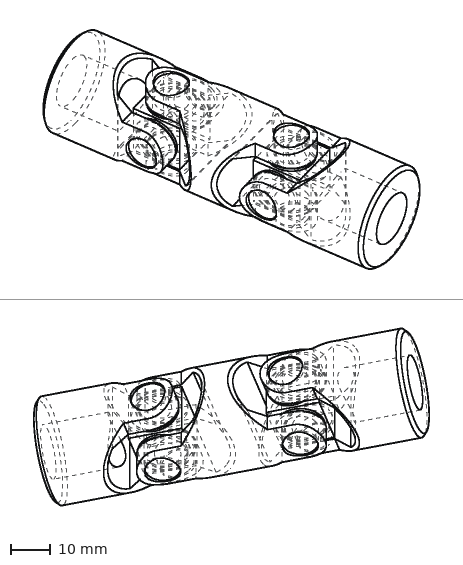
import cadquery as cq

length = 96.0
outer_diameter = 28.0
bore_diameter = 14.0
end_chamfer = 1.0

joint_spacing = 36.0
arm_half_width = 6.5
slope_start = 6.7
slope_end = 15.0
slot_half_width = 8.0
slot_bottom_radius = 12.1
slot_depth = 13.9

block_size = 13.9
boss_diameter = 12.5
pin_diameter = 9.0
pin_reach = 12.9
center_mark_diameter = 2.2
center_mark_depth = 0.2

outer_radius = outer_diameter / 2
joint_offset = joint_spacing / 2
fork_length = slope_end + arm_half_width


def x_cylinder(diameter, x_start, x_end):
    """Cylinder on the X axis between two X positions."""
    return cq.Workplane("YZ", origin=(x_start, 0, 0)).circle(diameter / 2).extrude(x_end - x_start)


def z_cylinder(diameter, height):
    """Cylinder standing on the XY plane at the origin."""
    return cq.Workplane("XY").circle(diameter / 2).extrude(height)


def arm_outline():
    """Block with the outline of the fork arms: rounded tip, straight sides, then sloping out."""
    return (
        cq.Workplane("XY")
        .moveTo(-slope_end, -outer_radius)
        .lineTo(-slope_start, -arm_half_width)
        .lineTo(0, -arm_half_width)
        .threePointArc((arm_half_width, 0), (0, arm_half_width))
        .lineTo(-slope_start, arm_half_width)
        .lineTo(-slope_end, outer_radius)
        .close()
        .extrude(outer_radius, both=True)
    )


def fork_slot():
    """Gap between the arms, level in Z: flat sides and a bottom rounded about Y, open toward +X."""
    bottom_center = slot_bottom_radius - slot_depth
    gap_length = slot_depth + arm_half_width
    gap = cq.Workplane("XY", origin=(-slot_depth, 0, 0)).box(
        gap_length, outer_diameter, 2 * slot_half_width, centered=(False, True, True)
    )
    rounded_bottom = (
        cq.Workplane("XZ")
        .moveTo(bottom_center, -slot_bottom_radius)
        .threePointArc((-slot_depth, 0), (bottom_center, slot_bottom_radius))
        .lineTo(arm_half_width, slot_bottom_radius)
        .lineTo(arm_half_width, -slot_bottom_radius)
        .close()
        .extrude(outer_radius, both=True)
    )
    return gap.intersect(rounded_bottom)


def fork_waste():
    """All that is cut from a round bar to leave a fork: pins along Z, joint at the origin, tip at +X."""
    around_fork = cq.Workplane("XY", origin=(-slope_end, 0, 0)).box(
        fork_length, outer_diameter, outer_diameter, centered=(False, True, True)
    )
    pin_hole = cq.Workplane("XY").circle(pin_diameter / 2).extrude(outer_radius, both=True)
    return around_fork.cut(arm_outline()).union(fork_slot()).union(pin_hole)


def swap_ends(body):
    """Half turn about Z."""
    return body.rotate((0, 0, 0), (0, 0, 1), 180)


def make_left_hub():
    """Bored and chamfered shaft end whose fork takes the pins along Y."""
    fork_tip = -joint_offset + arm_half_width
    hub = x_cylinder(outer_diameter, -length / 2, fork_tip).faces("<X").chamfer(end_chamfer)
    hub = hub.cut(x_cylinder(bore_diameter, -length / 2, fork_tip))
    waste = fork_waste().rotate((0, 0, 0), (1, 0, 0), 90).translate((-joint_offset, 0, 0))
    return hub.cut(waste)


def make_center_piece():
    """Solid bar with a fork at each end that takes the pins along Z."""
    fork_tip = joint_offset + arm_half_width
    right_waste = fork_waste().translate((joint_offset, 0, 0))
    return x_cylinder(outer_diameter, -fork_tip, fork_tip).cut(right_waste).cut(swap_ends(right_waste))


def cross_arm():
    """Boss and pin along +Z, with a shallow conical mark in the end of the pin."""
    mark = cq.Workplane(
        cq.Solid.makeCone(
            0,
            center_mark_diameter / 2,
            center_mark_depth,
            pnt=cq.Vector(0, 0, pin_reach - center_mark_depth),
        )
    )
    boss = z_cylinder(boss_diameter, slot_half_width)
    pin = z_cylinder(pin_diameter, pin_reach)
    return boss.union(pin).cut(mark)


def make_cross(x_center):
    """Block with four pins, along +-Y and +-Z."""
    cross = cq.Workplane("XY").box(block_size, block_size, block_size)
    for quarter_turn in range(4):
        cross = cross.union(cross_arm().rotate((0, 0, 0), (1, 0, 0), 90 * quarter_turn))
    return cross.translate((x_center, 0, 0))


left_hub = make_left_hub()
hubs = [left_hub, swap_ends(left_hub)]
center_piece = make_center_piece()
crosses = [make_cross(x_center) for x_center in (-joint_offset, joint_offset)]

result = cq.Compound.makeCompound([body.val() for body in [*hubs, center_piece, *crosses]])